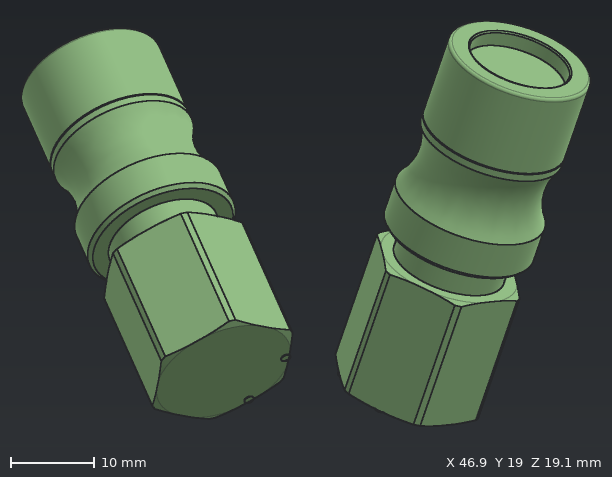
import cadquery as cq
import math


sleeve_length = 10.6
sleeve_radius = 18 / 2
sleeve_rounding = 0.4
bore_radius = 12.6 / 2
mouth_radius = 13 / 2

body_gap = 0.15
spigot_start = 2.0
shoulder_start = sleeve_length + body_gap
shoulder_radius = sleeve_radius
waist_radius = 16 / 2
waist_arc_radius = 8.35
waist_center_x = 15.67
collar_radius = 19 / 2
collar_end = 25.55
collar_chamfer = 0.5

neck_radius = 14 / 2
hex_start = 29.25
hex_end = 46.8
hex_length = hex_end - hex_start
hex_across_flats = 17.0
hex_corner_radius = 19.16 / 2
hex_corner_angle = 82.5
hex_face_radius = 17.2 / 2
hex_chamfer_length = 0.28

mark_circle_radius = 8.05
mark_radius = 0.6
mark_height = 0.1
mark_angles = (-7, -66)


def revolve_about_x(profile):
    return profile.close().revolve(360, (0, 0, 0), (1, 0, 0))


def end_plane(x):
    """Plane square to the axis, with local x along +Y and local y along +Z."""
    return cq.Workplane("YZ", origin=(x, 0, 0))


def make_sleeve():
    mouth_chamfer = mouth_radius - bore_radius
    sleeve = end_plane(0).circle(sleeve_radius).extrude(sleeve_length)
    sleeve = sleeve.faces("<X").edges().fillet(sleeve_rounding)
    bore = end_plane(0).circle(bore_radius).extrude(sleeve_length)
    mouth = revolve_about_x(
        cq.Workplane("XY")
        .lineTo(0, mouth_radius)
        .lineTo(mouth_chamfer, bore_radius)
        .lineTo(mouth_chamfer, 0)
    )
    return sleeve.cut(bore).cut(mouth)


def waist_half_chord(radius):
    """Axial distance from the middle of the waist to where its arc reaches the radius."""
    height = waist_arc_radius - (radius - waist_radius)
    return math.sqrt(waist_arc_radius**2 - height**2)


def make_turned_body():
    waist_start = waist_center_x - waist_half_chord(shoulder_radius)
    waist_end = waist_center_x + waist_half_chord(collar_radius)
    return revolve_about_x(
        cq.Workplane("XY")
        .moveTo(spigot_start, 0)
        .lineTo(spigot_start, bore_radius)
        .lineTo(shoulder_start, bore_radius)
        .lineTo(shoulder_start, shoulder_radius)
        .lineTo(waist_start, shoulder_radius)
        .threePointArc((waist_center_x, waist_radius), (waist_end, collar_radius))
        .lineTo(collar_end - collar_chamfer, collar_radius)
        .lineTo(collar_end, collar_radius - collar_chamfer)
        .lineTo(collar_end, neck_radius)
        .lineTo(hex_start, neck_radius)
        .lineTo(hex_start, 0)
    )


def make_hexagon():
    corner_diameter = hex_across_flats / math.cos(math.pi / 6)
    prism = end_plane(hex_start).polygon(6, corner_diameter).extrude(hex_length)
    prism = prism.rotate((0, 0, 0), (1, 0, 0), hex_corner_angle)
    envelope = revolve_about_x(
        cq.Workplane("XY")
        .moveTo(hex_start, 0)
        .lineTo(hex_start, hex_face_radius)
        .lineTo(hex_start + hex_chamfer_length, hex_corner_radius)
        .lineTo(hex_end - hex_chamfer_length, hex_corner_radius)
        .lineTo(hex_end, hex_face_radius)
        .lineTo(hex_end, 0)
    )
    return prism.intersect(envelope)


def make_mark(angle):
    y = mark_circle_radius * math.cos(math.radians(angle))
    z = mark_circle_radius * math.sin(math.radians(angle))
    return end_plane(hex_end).center(y, z).circle(mark_radius).extrude(mark_height)


def make_body():
    body = make_turned_body().union(make_hexagon())
    for angle in mark_angles:
        body = body.union(make_mark(angle))
    return body


sleeve = make_sleeve()
body = make_body()

result = cq.Compound.makeCompound([sleeve.val(), body.val()])